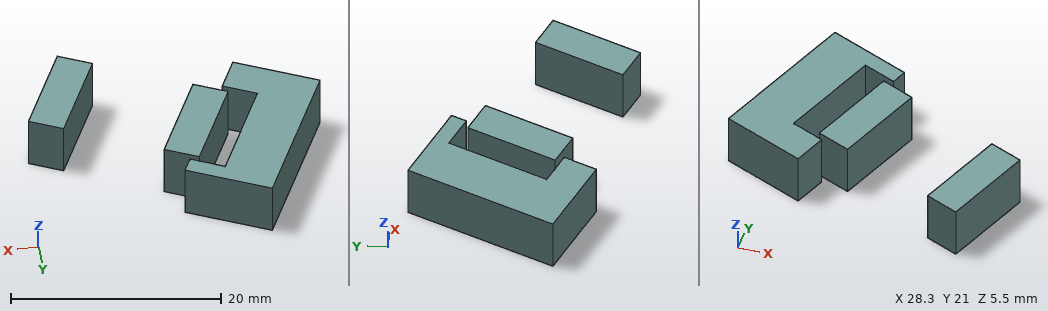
import cadquery as cq

height = 5.5
tilt = -24.8

housing_width = 8.68
lower_arm = 3.48
upper_arm = 1.6
slot_length = 10.6
slot_depth = 3.5
housing_length = lower_arm + slot_length + upper_arm

bar_width = 3.5
bar_length = 9.47
bar_lefts = [7.92, 21.4]
bar_bottom = lower_arm + (slot_length - bar_length) / 2


def block(left, bottom, width, length):
    """Upright block given by its lower-left corner before tilting."""
    return cq.Workplane("XY").box(width, length, height, centered=False).translate((left, bottom, 0))


def turned(body):
    """Turn a body to the common tilt about the housing's corner."""
    return body.rotate((0, 0, 0), (0, 0, 1), tilt)


def make_housing():
    """Block with a rectangular slot open on its right side."""
    body = block(0, 0, housing_width, housing_length)
    slot = block(housing_width - slot_depth, lower_arm, slot_depth, slot_length)
    return turned(body.cut(slot))


def make_bar(left):
    """Plain bar standing clear of the housing, parallel to its slot."""
    return turned(block(left, bar_bottom, bar_width, bar_length))


housing = make_housing()
bars = [make_bar(left) for left in bar_lefts]

result = cq.Compound.makeCompound([housing.val(), *[bar.val() for bar in bars]])